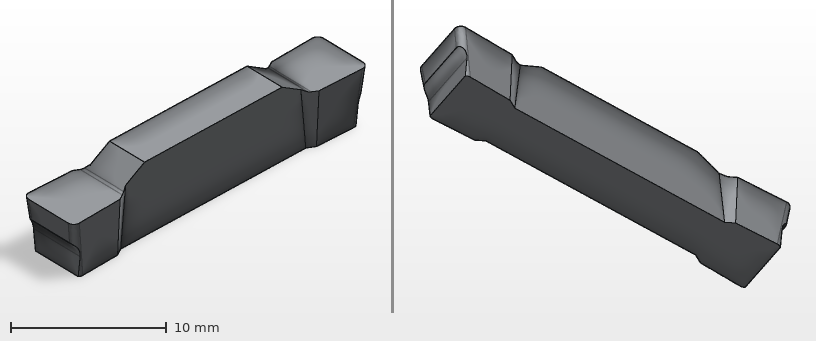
import cadquery as cq
import math


total_length = 26.11
total_height = 5.79
edge_width = 4.7
shank_width = 3.26

rake_height = 4.5
ramp_start = 4.82
ramp_angle = 31.0
ramp_foot_radius = 0.5

front_relief = 7.0
side_relief = 3.0
back_taper = 2.0
corner_radius = 0.5
side_length = 4.25
neck_angle = 30.0
head_length = 6.0

seat_setback = 0.75
undercut_start = 1.67
undercut_radius = 1.4
undercut_end = 2.77

half_length = total_length / 2


def tangent(angle):
    return math.tan(math.radians(angle))


def head_outline(height):
    """Sharp-cornered plan section of the -Y head at a given height."""
    drop = rake_height - height
    rounding = corner_radius * (tangent(back_taper) + 1 / math.cos(math.radians(back_taper)) - 1)
    side_at_edge = edge_width / 2 + rounding - drop * tangent(side_relief)
    front = drop * tangent(front_relief)
    front_x = side_at_edge - front * tangent(back_taper)
    rear_x = side_at_edge - side_length * tangent(back_taper)
    neck_x = rear_x - (head_length - side_length) * tangent(neck_angle)
    right_side = [(front_x, front), (rear_x, side_length), (neck_x, head_length)]
    left_side = [(-x, y) for x, y in reversed(right_side)]
    return [(x, y - half_length) for x, y in right_side + left_side]


def make_undercut():
    """Material removed below the relieved front face of the -Y head."""
    seat_y = seat_setback - half_length
    center_y = seat_y - undercut_radius

    def arc_y(height):
        return center_y + math.sqrt(undercut_radius**2 - (height - undercut_start) ** 2)

    middle = (undercut_start + undercut_end) / 2
    return (
        cq.Workplane("YZ")
        .moveTo(seat_y, 0)
        .lineTo(seat_y, undercut_start)
        .threePointArc((arc_y(middle), middle), (arc_y(undercut_end), undercut_end))
        .lineTo(center_y, undercut_end)
        .lineTo(center_y, 0)
        .close()
        .extrude(edge_width, both=True)
    )


def make_head():
    """Head at the -Y end, with relieved faces, rounded corners and undercut."""
    head = (
        cq.Workplane("XY")
        .polyline(head_outline(0)).close()
        .workplane(offset=total_height)
        .polyline(head_outline(total_height)).close()
        .loft(ruled=True, combine=True)
    )
    front_corners = head.faces("<Y").edges("not #Z")
    return front_corners.fillet(corner_radius).cut(make_undercut())


def make_envelope():
    """Side profile across the full width: rake faces, ramps and raised shank top."""
    ramp_y = half_length - ramp_start
    top_y = ramp_y - (total_height - rake_height) / tangent(ramp_angle)
    right_end = [(half_length, 0), (half_length, rake_height), (ramp_y, rake_height), (top_y, total_height)]
    left_end = [(-y, z) for y, z in reversed(right_end)]
    profile = cq.Workplane("YZ").polyline(right_end + left_end).close().extrude(edge_width, both=True)
    near_foot = cq.selectors.NearestToPointSelector((0, -ramp_y, rake_height))
    far_foot = cq.selectors.NearestToPointSelector((0, ramp_y, rake_height))
    return profile.edges(near_foot + far_foot).fillet(ramp_foot_radius)


def make_shank():
    """Straight-sided shank whose ends lie inside the wider heads."""
    shank_length = total_length - 2 * side_length
    return cq.Workplane("XY").box(
        shank_width, shank_length, total_height, centered=(True, True, False)
    )


head = make_head()
blank = make_shank().union(head).union(head.mirror("XZ"))
result = blank.intersect(make_envelope())